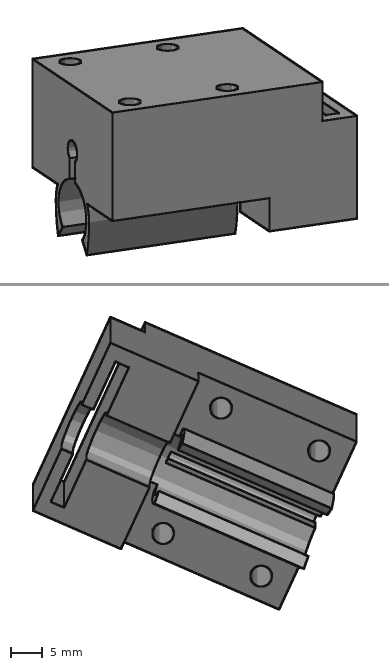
import cadquery as cq
import math


width = 30.0
length = 42.75
height = 26.68
top_z = 21.0
main_bottom_z = 2.9
rear_bottom_z = -2.65
rear_section_y = 27.45
shelf_length = 6.03
shelf_drop = 6.5

slot_width = 25.05
slot_length = 2.3
slot_wall = 2.0

screw_diameter = 3.4
screw_half_pitch = 11.2
screw_rows_y = (4.85, 21.85)

bore_diameter = 10.4
clip_diameter = 12.53
clip_length = 25.95
clip_tip_z = top_z - height
clip_tip_x = 5.4
mouth_angle = math.radians(45)

slit_width = 2.0
relief_diameter = 3.5
relief_z = 10.05

channel_width = 7.9


def block_along_y(x_size, y_start, y_end, z_low, z_high):
    """Box centred on X = 0."""
    return cq.Workplane("XY").box(
        x_size, y_end - y_start, z_high - z_low, centered=(True, False, False)
    ).translate((0, y_start, z_low))


def cylinder_along_y(diameter, y_start, y_end, z_center):
    """Cylinder with its axis on X = 0."""
    profile = cq.Workplane("XZ", origin=(0, y_start, z_center)).circle(diameter / 2)
    return profile.extrude(y_start - y_end)


def make_block():
    """Side outline of the stepped block, extruded across the width."""
    shelf_y = length - shelf_length
    shelf_z = top_z - shelf_drop
    return (
        cq.Workplane("YZ")
        .moveTo(0, top_z)
        .lineTo(shelf_y, top_z)
        .lineTo(shelf_y, shelf_z)
        .lineTo(length, shelf_z)
        .lineTo(length, rear_bottom_z)
        .lineTo(rear_section_y, rear_bottom_z)
        .lineTo(rear_section_y, main_bottom_z)
        .lineTo(0, main_bottom_z)
        .close()
        .extrude(width / 2, both=True)
    )


def make_clip():
    """Clip body before boring: round above the bore axis, then flatter arcs down to the tips."""
    radius = clip_diameter / 2
    mouth_x = bore_diameter / 2 * math.sin(mouth_angle)
    mouth_z = -bore_diameter / 2 * math.cos(mouth_angle)
    return (
        cq.Workplane("XZ")
        .moveTo(-radius, 0)
        .threePointArc((0, radius), (radius, 0))
        .tangentArcPoint((clip_tip_x, clip_tip_z), relative=False)
        .lineTo(mouth_x, mouth_z)
        .lineTo(0, 0)
        .lineTo(-mouth_x, mouth_z)
        .lineTo(-clip_tip_x, clip_tip_z)
        .threePointArc(leg_midpoint(), (-radius, 0))
        .close()
        .extrude(-clip_length)
    )


def leg_midpoint():
    """Point halfway down the left leg, whose arc starts vertical at the bore axis."""
    inset = clip_diameter / 2 - clip_tip_x
    leg_radius = (inset**2 + clip_tip_z**2) / (2 * inset)
    half_angle = math.asin(-clip_tip_z / leg_radius) / 2
    x = -clip_diameter / 2 + leg_radius * (1 - math.cos(half_angle))
    return (x, -leg_radius * math.sin(half_angle))


def make_rod_channel():
    """Round-topped channel through the rear section, level with the underside of the main block."""
    axis_z = main_bottom_z - channel_width / 2
    arch = cylinder_along_y(channel_width, rear_section_y, length, axis_z)
    lower = block_along_y(channel_width, rear_section_y, length, rear_bottom_z, axis_z)
    return arch.union(lower)


def make_flex_slit():
    slit = block_along_y(slit_width, 0, clip_length, 0, relief_z)
    return slit.union(cylinder_along_y(relief_diameter, 0, clip_length, relief_z))


def make_strap_slot():
    slot_end_y = length - slot_wall
    return block_along_y(slot_width, slot_end_y - slot_length, slot_end_y, rear_bottom_z, top_z)


def make_screw_holes():
    centers = [(side * screw_half_pitch, y) for side in (-1, 1) for y in screw_rows_y]
    return (
        cq.Workplane("XY", origin=(0, 0, main_bottom_z))
        .pushPoints(centers)
        .circle(screw_diameter / 2)
        .extrude(top_z - main_bottom_z)
    )


result = (
    make_block()
    .union(make_clip())
    .cut(cylinder_along_y(bore_diameter, 0, rear_section_y, 0))
    .cut(make_rod_channel())
    .cut(make_flex_slit())
    .cut(make_strap_slot())
    .cut(make_screw_holes())
)